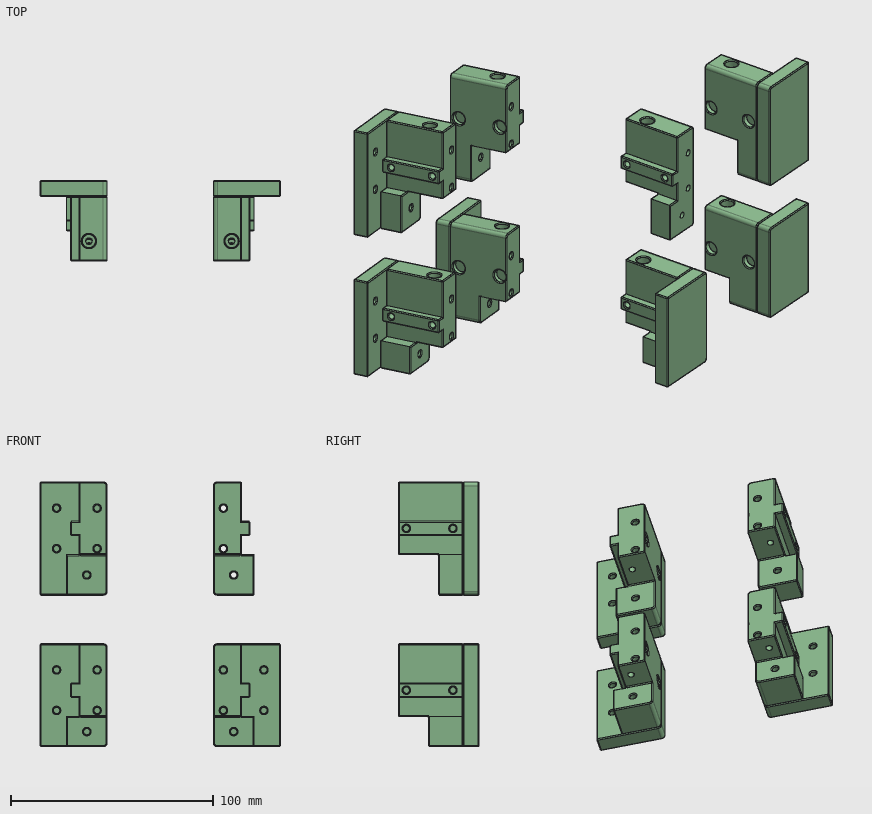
import cadquery as cq


TOTAL_WIDTH = 118.8
TOTAL_DEPTH = 40.0
TOTAL_HEIGHT = 131.0

PLATE_WIDTH = 33.1
PLATE_THICKNESS = 8.0
PLATE_HOLE_INSET = 8.1
PLATE_HOLE_DEPTH = 6.0

BLOCK_DEPTH = TOTAL_DEPTH - PLATE_THICKNESS
WALL_WIDTH = 14.0
WALL_HEIGHT = 36.0
RIB_REACH = 18.1
RIB_HEIGHT = 7.1
FOOT_WIDTH = 20.2
UPPER_FOOT_HEIGHT = 20.0
UPPER_FOOT_DEPTH = 12.0
LOWER_FOOT_HEIGHT = 14.9
LOWER_FOOT_DEPTH = 17.0

EDGE_CHAMFER = 0.5
CORNER_RADIUS = 2.0
TOLERANCE = 0.1

SCREW_DIAMETER = 3.1
BORE_DIAMETER = 6.5
SCREW_ROW_TOP = 13.0
SCREW_ROW_PITCH = 20.0
WALL_SCREW_INSET = 5.0
TOP_BORE_INSET = 9.0
TOP_BORE_DEPTH = 10.0
RIB_SCREW_END_GAP = 5.0
RIB_SCREW_PITCH = 23.0
RIB_SCREW_DEPTH = 8.0
SIDE_BORE_DEPTH = 3.0

SCREW_ROWS = (-SCREW_ROW_TOP, -SCREW_ROW_TOP - SCREW_ROW_PITCH)
RIB_CENTRE_Z = sum(SCREW_ROWS) / 2
BLOCK_BACK_Y = -PLATE_THICKNESS
BLOCK_FRONT_Y = -TOTAL_DEPTH
RIB_SCREW_YS = (
    BLOCK_BACK_Y - RIB_SCREW_END_GAP,
    BLOCK_BACK_Y - RIB_SCREW_END_GAP - RIB_SCREW_PITCH,
)

BACKWARD = cq.Vector(0, 1, 0)
TOWARD_RIB = cq.Vector(-1, 0, 0)
AWAY_FROM_RIB = cq.Vector(1, 0, 0)
DOWN = cq.Vector(0, 0, -1)


def box_between(x_range, y_range, z_range):
    """Box spanning the given (low, high) ranges."""
    size = [high - low for low, high in (x_range, y_range, z_range)]
    corner = (x_range[0], y_range[0], z_range[0])
    return cq.Workplane("XY").box(*size, centered=False).translate(corner)


def hole_cutter(mouth, direction, diameter, depth):
    """Cylinder with a countersunk mouth, running from a mouth point along a direction."""
    radius = diameter / 2
    bore = cq.Solid.makeCylinder(radius, depth, cq.Vector(*mouth), direction)
    mouth_cone = cq.Solid.makeCone(
        radius + EDGE_CHAMFER, radius, EDGE_CHAMFER, cq.Vector(*mouth), direction
    )
    return cq.Workplane(obj=bore.fuse(mouth_cone))


def round_outer_corners(body):
    """Round the two long outer edges, at the top and bottom of the face x = 0."""
    return body.faces(">X").edges("|Y").edges(">Z or <Z").fillet(CORNER_RADIUS)


def make_plate(height):
    """Back plate with two blind screw holes in its free part."""
    plate = box_between((-PLATE_WIDTH, 0), (BLOCK_BACK_Y, 0), (-height, 0))
    plate = round_outer_corners(plate)
    plate = plate.faces("<X or <Y or >Y").edges().chamfer(EDGE_CHAMFER)
    for z in SCREW_ROWS:
        mouth = (-PLATE_WIDTH + PLATE_HOLE_INSET, BLOCK_BACK_Y, z)
        plate = plate.cut(hole_cutter(mouth, BACKWARD, SCREW_DIAMETER, PLATE_HOLE_DEPTH))
    return plate


def make_block_body(foot_height, foot_depth):
    """Wall with a side rib, standing on a shorter foot that widens toward the plate's free side."""
    block_y = (BLOCK_FRONT_Y, BLOCK_BACK_Y)
    foot_y = (BLOCK_BACK_Y - foot_depth, BLOCK_BACK_Y)
    height = WALL_HEIGHT + foot_height
    rib_z = (RIB_CENTRE_Z - RIB_HEIGHT / 2, RIB_CENTRE_Z + RIB_HEIGHT / 2)

    wall = box_between((-WALL_WIDTH, 0), block_y, (-WALL_HEIGHT, 0))
    rib = box_between((-RIB_REACH, 0), block_y, rib_z)
    foot = box_between((-FOOT_WIDTH, 0), foot_y, (-height, -WALL_HEIGHT))
    return wall.union(rib).union(foot).clean()


def near(value, target):
    """True when two coordinates coincide."""
    return abs(value - target) < TOLERANCE


def is_broken_edge(edge):
    """True for the edges that get a plain chamfer: end-face rims and the free edges along y."""
    centre = edge.Center()
    along_y = edge.BoundingBox().ylen > TOLERANCE
    below_wall = centre.z < -WALL_HEIGHT - TOLERANCE

    if along_y:
        on_rib_tip = near(centre.x, -RIB_REACH)
        on_wall_top = near(centre.x, -WALL_WIDTH) and near(centre.z, 0)
        on_foot_bottom = near(centre.x, -FOOT_WIDTH) and below_wall
        return on_rib_tip or on_wall_top or on_foot_bottom

    on_end_face = near(centre.y, BLOCK_FRONT_Y) or near(centre.y, BLOCK_BACK_Y)
    on_foot_ledge = centre.x < -WALL_WIDTH
    return on_end_face or below_wall or on_foot_ledge


def chamfer_block(block, foot_front_y):
    """Break the outer edges, fill the corner under the wall and bevel the overhang's lower edge."""
    edges = [edge for edge in block.edges().vals() if is_broken_edge(edge)]
    block = block.newObject(edges).chamfer(EDGE_CHAMFER)

    corner_fill = (
        cq.Workplane("YZ", origin=(-WALL_WIDTH, foot_front_y, -WALL_HEIGHT))
        .moveTo(-EDGE_CHAMFER, 0)
        .lineTo(EDGE_CHAMFER, 0)
        .lineTo(0, -EDGE_CHAMFER)
        .close()
        .extrude(WALL_WIDTH - EDGE_CHAMFER)
    )
    overhang_bevel = (
        cq.Workplane("XZ", origin=(-WALL_WIDTH, foot_front_y, -WALL_HEIGHT))
        .moveTo(-EDGE_CHAMFER, 2 * EDGE_CHAMFER)
        .lineTo(2 * EDGE_CHAMFER, -EDGE_CHAMFER)
        .lineTo(-EDGE_CHAMFER, -EDGE_CHAMFER)
        .close()
        .extrude(foot_front_y - BLOCK_FRONT_Y)
    )
    return block.union(corner_fill).cut(overhang_bevel)


def cut_front_screws(block, foot_height, foot_depth):
    """Through screw holes along y: two in the wall and one in the middle of the foot."""
    for z in SCREW_ROWS:
        mouth = (-WALL_SCREW_INSET, BLOCK_FRONT_Y, z)
        block = block.cut(hole_cutter(mouth, BACKWARD, SCREW_DIAMETER, BLOCK_DEPTH))

    foot_mouth = (-FOOT_WIDTH / 2, BLOCK_BACK_Y - foot_depth, -WALL_HEIGHT - foot_height / 2)
    return block.cut(hole_cutter(foot_mouth, BACKWARD, SCREW_DIAMETER, foot_depth))


def cut_top_bore(block, foot_depth):
    """Stepped hole down through the wall, centred on the part that overhangs the foot."""
    overhang = BLOCK_DEPTH - foot_depth
    mouth = (-TOP_BORE_INSET, BLOCK_FRONT_Y + overhang / 2, 0)
    block = block.cut(hole_cutter(mouth, DOWN, BORE_DIAMETER, TOP_BORE_DEPTH))
    return block.cut(hole_cutter(mouth, DOWN, SCREW_DIAMETER, WALL_HEIGHT))


def cut_side_holes(block):
    """Blind screw holes in the rib tip, each facing a shallow bore in the outer side face."""
    for y in RIB_SCREW_YS:
        tip_mouth = (-RIB_REACH, y, RIB_CENTRE_Z)
        block = block.cut(hole_cutter(tip_mouth, AWAY_FROM_RIB, SCREW_DIAMETER, RIB_SCREW_DEPTH))
        side_mouth = (0, y, RIB_CENTRE_Z)
        block = block.cut(hole_cutter(side_mouth, TOWARD_RIB, BORE_DIAMETER, SIDE_BORE_DEPTH))
    return block


def make_block(foot_height, foot_depth):
    """Clamp block with its edge breaks, screw holes and bores."""
    block = round_outer_corners(make_block_body(foot_height, foot_depth))
    block = chamfer_block(block, BLOCK_BACK_Y - foot_depth)
    block = cut_front_screws(block, foot_height, foot_depth)
    block = cut_top_bore(block, foot_depth)
    return cut_side_holes(block)


def place(piece, on_left, top_z):
    """Move a local piece to its corner; right-hand pieces are mirror images."""
    outer_face_x = PLATE_WIDTH - TOTAL_WIDTH / 2
    placed = piece.translate((outer_face_x, 0, top_z))
    return placed if on_left else placed.mirror("YZ")


UPPER_HEIGHT = WALL_HEIGHT + UPPER_FOOT_HEIGHT
LOWER_HEIGHT = WALL_HEIGHT + LOWER_FOOT_HEIGHT
UPPER_TOP = TOTAL_HEIGHT
LOWER_TOP = LOWER_HEIGHT

blocks = []
for on_left in (True, False):
    blocks.append(place(make_block(UPPER_FOOT_HEIGHT, UPPER_FOOT_DEPTH), on_left, UPPER_TOP))
    blocks.append(place(make_block(LOWER_FOOT_HEIGHT, LOWER_FOOT_DEPTH), on_left, LOWER_TOP))

plates = [
    place(make_plate(UPPER_HEIGHT), True, UPPER_TOP),
    place(make_plate(LOWER_HEIGHT), True, LOWER_TOP),
    place(make_plate(LOWER_HEIGHT), False, LOWER_TOP),
]

result = cq.Compound.makeCompound([body.val() for body in blocks + plates])